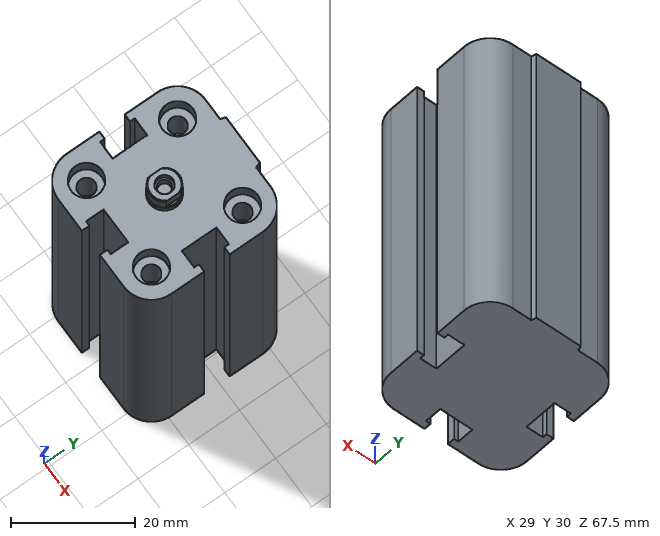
import cadquery as cq

body_width = 29.0
overall_depth = 30.0
body_height = 63.1
bolt_spacing = 17.95
half_width = body_width / 2
corner_radius = half_width - bolt_spacing / 2

rail_height = overall_depth - body_width
rail_base_width = 10.0
rail_top_width = 9.45

slot_mouth_width = 5.0
slot_inner_width = 6.8
slot_lip = 1.5
slot_depth = 4.9

counterbore_diameter = 6.0
counterbore_depth = 3.5
bolt_hole_diameter = 3.25
bolt_hole_depth = 12.5

overall_height = 67.5
collar_diameter = 6.0
collar_height = 1.35
tip_diameter = 5.8
tip_chamfer = 0.2
flat_width = 5.0
flat_start = 1.75
rod_counterbore_diameter = 3.25
rod_counterbore_depth = 1.4
rod_hole_diameter = 2.5
rod_hole_depth = 3.4


def make_rail():
    """Shallow rail with slightly sloped flanks, centred on the +Y face."""
    return (
        cq.Workplane("XY")
        .moveTo(-rail_base_width / 2, half_width)
        .lineTo(-rail_top_width / 2, half_width + rail_height)
        .lineTo(rail_top_width / 2, half_width + rail_height)
        .lineTo(rail_base_width / 2, half_width)
        .close()
        .extrude(body_height)
    )


def make_slot(angle):
    """Full-length T-slot cutter for the -Y face, turned about Z by the given angle."""
    mouth = (
        cq.Workplane("XY")
        .center(0, slot_depth / 2 - half_width)
        .rect(slot_mouth_width, slot_depth)
        .extrude(body_height)
    )
    inner_depth = slot_depth - slot_lip
    inner = (
        cq.Workplane("XY")
        .center(0, slot_lip + inner_depth / 2 - half_width)
        .rect(slot_inner_width, inner_depth)
        .extrude(body_height)
    )
    return mouth.union(inner).rotate((0, 0, 0), (0, 0, 1), angle)


def make_housing():
    """Cylinder housing with rail, T-slots and counterbored blind bolt holes."""
    housing = (
        cq.Workplane("XY")
        .rect(body_width, body_width)
        .extrude(body_height)
        .edges("|Z")
        .fillet(corner_radius)
        .union(make_rail())
    )
    for angle in (-90, 0, 90):
        housing = housing.cut(make_slot(angle))
    return (
        housing.faces(">Z")
        .workplane(origin=(0, 0, body_height))
        .rect(bolt_spacing, bolt_spacing, forConstruction=True)
        .vertices()
        .cboreHole(bolt_hole_diameter, counterbore_diameter, counterbore_depth, bolt_hole_depth)
    )


def make_piston_rod():
    """Rod end with a collar, two wrench flats and a counterbored blind hole."""
    rod_height = overall_height - body_height
    tip_height = rod_height - collar_height
    rod = (
        cq.Workplane("XY", origin=(0, 0, body_height))
        .circle(collar_diameter / 2)
        .extrude(collar_height)
        .faces(">Z")
        .workplane()
        .circle(tip_diameter / 2)
        .extrude(tip_height)
        .faces(">Z")
        .edges()
        .chamfer(tip_chamfer)
    )
    flat_cutter = (
        cq.Workplane("XY", origin=(0, 0, body_height + flat_start))
        .rect(flat_width, collar_diameter)
        .rect(2 * collar_diameter, 2 * collar_diameter)
        .extrude(rod_height)
    )
    return (
        rod.cut(flat_cutter)
        .faces(">Z")
        .workplane(origin=(0, 0, overall_height))
        .cboreHole(rod_hole_diameter, rod_counterbore_diameter, rod_counterbore_depth, rod_hole_depth)
    )


housing = make_housing()
piston_rod = make_piston_rod()

result = cq.Compound.makeCompound([housing.val(), piston_rod.val()])